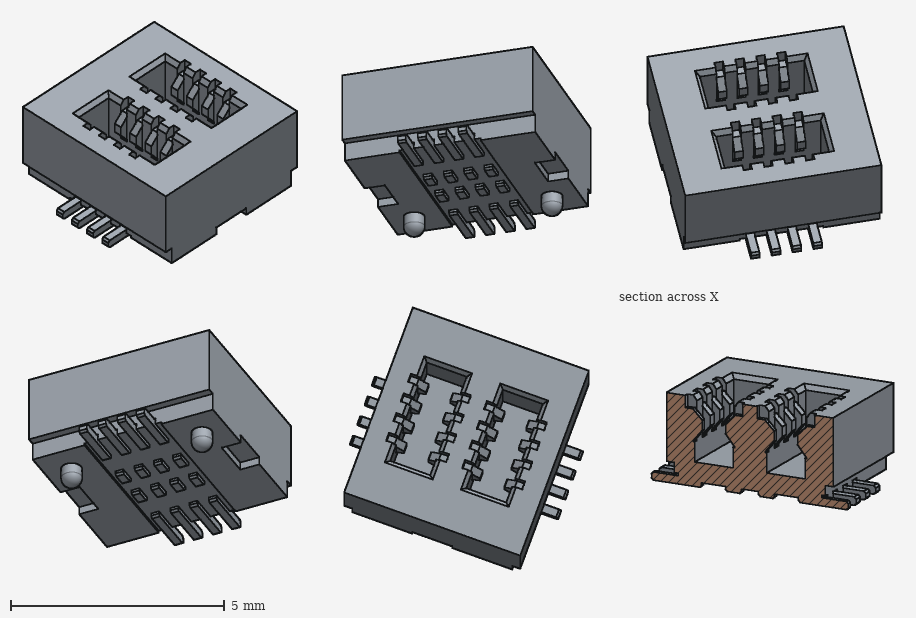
import cadquery as cq


body_x = 4.7
body_y = 4.4
body_z = 2.155
base_y = 4.0
step_z = 0.45
side_notch_y = 1.0
side_notch_depth = 0.5
notch_z = 0.205
relief_x = 2.0
relief_z = 0.05

pocket_pitch = 1.9
pocket_x = 2.5
pocket_y = 1.0
pocket_depth = 1.6
lead_in = 0.1
lead_in_depth = 0.125

contact_count = 4
contact_pitch = 0.5
contact_width = 0.205
tip_reach = 0.3
ramp_start = 0.55
slot_reach = 0.75
contact_drop = 0.3
tip_top_drop = 0.55
tip_bottom_drop = 0.8
contact_end_drop = 1.1

tail_top = 0.15
tail_bottom = -0.06
tail_chamfer = 0.05
outer_tail_end = 2.6
outer_tail_start = 1.275
inner_tail_end = 0.65
inner_tail_start = 0.22
tail_slot_depth = 0.105

peg_radius = 0.25
peg_length = 0.5
peg_spacing = 3.4
peg_y = -1.25

contact_xs = [(i - (contact_count - 1) / 2) * contact_pitch for i in range(contact_count)]
pocket_ys = [-pocket_pitch / 2, pocket_pitch / 2]


def block(x_size, y_range, z_range, x_center=0):
    """Box centred on x_center, spanning the given Y and Z ranges."""
    y_low, y_high = sorted(y_range)
    z_low, z_high = z_range
    box = cq.Workplane("XY").box(x_size, y_high - y_low, z_high - z_low, centered=(True, False, False))
    return box.translate((x_center, y_low, z_low))


def make_housing():
    """Block with a narrower foot and shallow recesses in its underside."""
    upper = block(body_x, (-body_y / 2, body_y / 2), (step_z, body_z))
    foot = block(body_x, (-base_y / 2, base_y / 2), (0, step_z))
    housing = upper.union(foot)
    housing = housing.cut(block(relief_x, (-base_y / 2, base_y / 2), (0, relief_z)))
    for side in (-1, 1):
        notch_x = side * (body_x - side_notch_depth) / 2
        notch = block(side_notch_depth, (-side_notch_y / 2, side_notch_y / 2), (0, notch_z), notch_x)
        housing = housing.cut(notch)
    return housing


def make_pocket(center_y):
    """Rectangular card pocket with a bevelled mouth."""
    y_range = (center_y - pocket_y / 2, center_y + pocket_y / 2)
    well = block(pocket_x, y_range, (body_z - pocket_depth, body_z))
    mouth = (
        cq.Workplane("XY", origin=(0, center_y, body_z - lead_in_depth))
        .rect(pocket_x, pocket_y)
        .workplane(offset=lead_in_depth)
        .rect(pocket_x + 2 * lead_in, pocket_y + 2 * lead_in)
        .loft(ruled=True)
    )
    return well.union(mouth)


def make_contact(x, center_y, side):
    """Spring contact whose ramped nose projects into the pocket from one side."""
    outline = [
        (slot_reach, contact_drop),
        (ramp_start, contact_drop),
        (tip_reach, tip_top_drop),
        (tip_reach, tip_bottom_drop),
        (ramp_start, contact_end_drop),
        (slot_reach, contact_end_drop),
    ]
    points = [(center_y + side * reach, body_z - drop) for reach, drop in outline]
    profile = cq.Workplane("YZ", origin=(x, 0, 0)).polyline(points).close()
    return profile.extrude(contact_width / 2, both=True)


def make_tail(x, y_range):
    """Flat solder tail with its end edges chamfered."""
    tail = block(contact_width, y_range, (tail_bottom, tail_top), x)
    return tail.faces("<Y or >Y").edges("|X").chamfer(tail_chamfer)


def make_peg(x):
    """Round peg with a hemispherical tip."""
    blank = cq.Workplane("XY", origin=(x, peg_y, 0)).circle(peg_radius).extrude(peg_radius - peg_length)
    tip = cq.Workplane("XY", origin=(x, peg_y, peg_radius - peg_length)).sphere(peg_radius)
    return blank.union(tip)


result = make_housing()

for center_y in pocket_ys:
    result = result.cut(make_pocket(center_y))

for x in contact_xs:
    for center_y in pocket_ys:
        slot_ys = (center_y - slot_reach, center_y + slot_reach)
        result = result.cut(block(contact_width, slot_ys, (body_z - contact_end_drop, body_z), x))
        for side in (-1, 1):
            result = result.union(make_contact(x, center_y, side))
    for side in (-1, 1):
        wall_y = side * base_y / 2
        tail_slot_ys = (wall_y, wall_y - side * tail_slot_depth)
        result = result.cut(block(contact_width, tail_slot_ys, (0, notch_z), x))
        result = result.union(make_tail(x, (side * outer_tail_start, side * outer_tail_end)))
        result = result.union(make_tail(x, (side * inner_tail_start, side * inner_tail_end)))

for side in (-1, 1):
    result = result.union(make_peg(side * peg_spacing / 2))